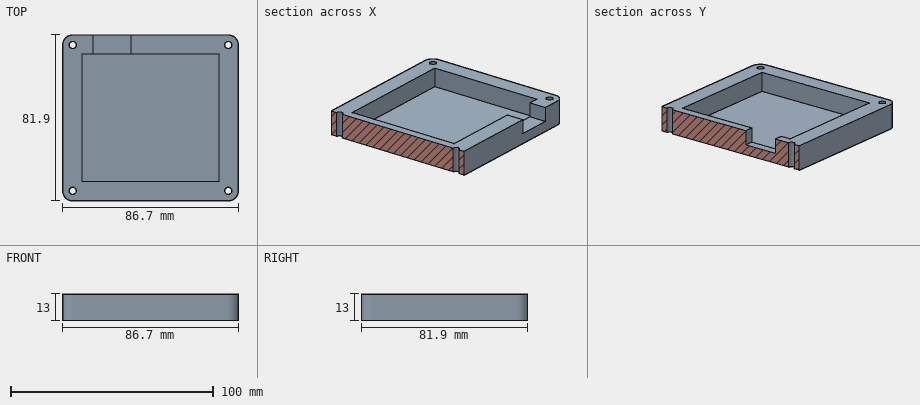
import cadquery as cq

length = 86.67
width = 81.91
height = 13.0
corner_radius = 5.0

wall = 9.5
floor_thickness = 3.0
pocket_length = length - 2 * wall
pocket_width = width - 2 * wall

notch_start = 15.1
notch_width = 18.5
notch_depth = 7.5

hole_diameter = 3.4
hole_spacing_x = length - 2 * corner_radius
hole_spacing_y = width - 2 * corner_radius


def make_block():
    block = cq.Workplane("XY").box(length, width, height, centered=(True, True, False))
    return block.edges("|Z").fillet(corner_radius)


def make_pocket():
    pocket_depth = height - floor_thickness
    return (
        cq.Workplane("XY", origin=(0, 0, floor_thickness))
        .box(pocket_length, pocket_width, pocket_depth, centered=(True, True, False))
    )


def make_notch():
    corner = (notch_start - length / 2, width / 2 - wall, height - notch_depth)
    return cq.Workplane("XY", origin=corner).box(notch_width, wall, notch_depth, centered=False)


def make_screw_holes():
    return (
        cq.Workplane("XY")
        .rect(hole_spacing_x, hole_spacing_y, forConstruction=True)
        .vertices()
        .circle(hole_diameter / 2)
        .extrude(height)
    )


result = make_block().cut(make_pocket()).cut(make_notch()).cut(make_screw_holes())